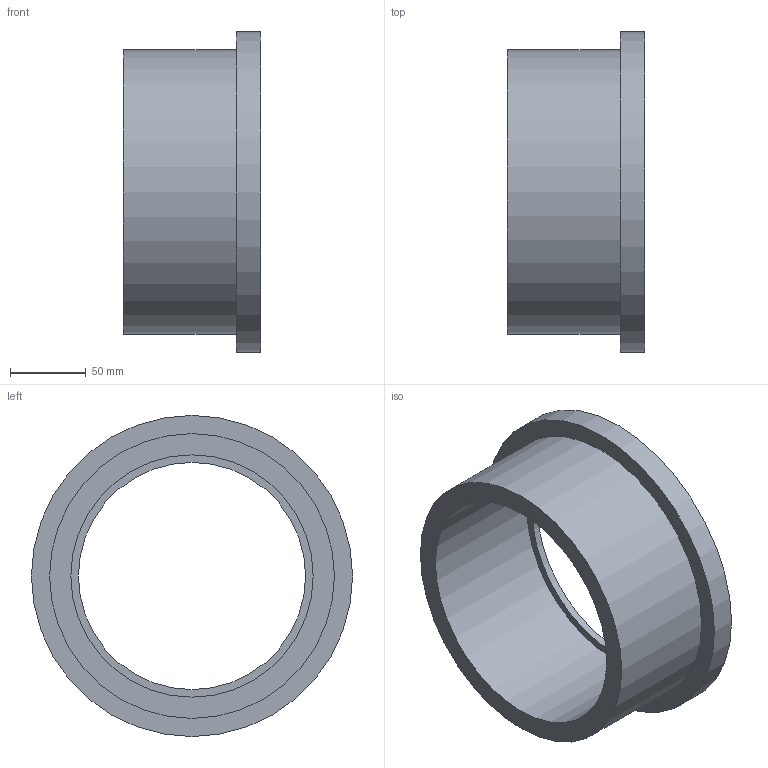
import cadquery as cq

total_length = 90.5
flange_diameter = 212.0
flange_thickness = 16.0
sleeve_diameter = 188.0
socket_diameter = 160.0
lip_diameter = 150.0
lip_thickness = 5.0

sleeve_length = total_length - flange_thickness
socket_depth = total_length - lip_thickness


def cylinder_along_x(diameter, start, length):
    """Solid cylinder on the X axis, running from start towards +X."""
    return cq.Workplane("YZ", origin=(start, 0, 0)).circle(diameter / 2).extrude(length)


def make_body():
    """Sleeve with its open end at X = 0 and a flange at the +X end."""
    sleeve = cylinder_along_x(sleeve_diameter, 0, total_length)
    flange = cylinder_along_x(flange_diameter, sleeve_length, flange_thickness)
    return sleeve.union(flange)


def make_bore():
    """Through bore, widened from the sleeve end so that a lip is left inside the flange."""
    through_bore = cylinder_along_x(lip_diameter, 0, total_length)
    socket = cylinder_along_x(socket_diameter, 0, socket_depth)
    return through_bore.union(socket)


result = make_body().cut(make_bore())